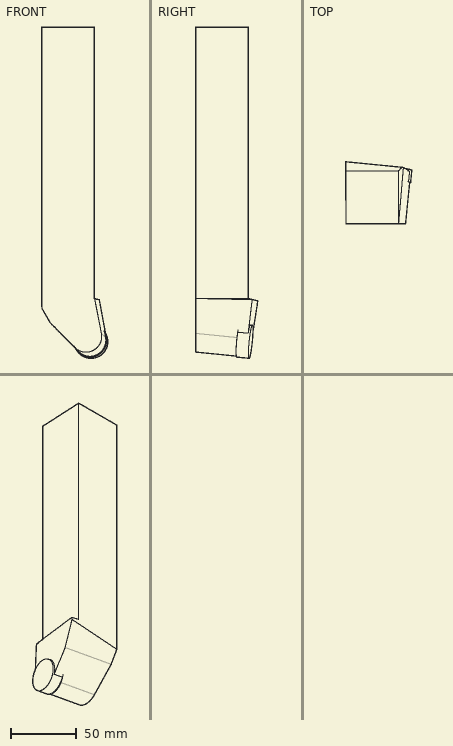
import cadquery as cq
import math

shank_size = 40.0
front_inset = 0.25

ledge_z = -205.8
ledge_angle = 14.0

lean_x = 0.10
lean_z = -0.10

nose_x = 33.54
nose_z = -234.52
nose_radius = 12.0
flank_angle = 11.0
relief_angle = 45.0
relief_corner_x = 6.6
heel_angle = 60.0
head_depth = 47.15

insert_diameter = 25.4
insert_thickness = 9.525
insert_proud = 1.5

block_width = 80.0
block_depth = 60.0
block_height = 60.0

rake_axis = cq.Vector(lean_x, 1, lean_z).normalized()
nose_center = cq.Vector(nose_x, 0, nose_z)
outline_plane = cq.Plane(origin=nose_center, xDir=(1, -lean_x, 0), normal=rake_axis)

ledge_slope = math.tan(math.radians(ledge_angle))
ledge_end_z = ledge_z - (head_depth - shank_size) * ledge_slope
ledge_end = cq.Vector(0, head_depth, ledge_end_z)
rake_distance = (ledge_end - nose_center).dot(rake_axis)


def nose_point(degrees):
    """Point on the nose arc, measured from local x toward local y."""
    angle = math.radians(degrees)
    return nose_radius * math.cos(angle), nose_radius * math.sin(angle)


def make_head_prism():
    """Head outline run along the rake axis, past the front face and up to the rake face."""
    flank_x, flank_y = nose_point(-flank_angle)
    relief_end_x, relief_end_y = nose_point(180 - relief_angle)
    top_y = -block_height
    top_x = flank_x - (flank_y - top_y) * math.tan(math.radians(flank_angle))
    corner_x = relief_corner_x - nose_x
    corner_y = relief_end_y - (relief_end_x - corner_x) * math.tan(math.radians(relief_angle))
    heel_x = corner_x - block_width / 2
    heel_y = corner_y - (corner_x - heel_x) * math.tan(math.radians(heel_angle))
    front_overrun = block_depth / 2
    return (
        cq.Workplane(outline_plane)
        .workplane(offset=-front_overrun)
        .moveTo(top_x, top_y)
        .lineTo(flank_x, flank_y)
        .threePointArc(nose_point(relief_angle), (relief_end_x, relief_end_y))
        .lineTo(corner_x, corner_y)
        .lineTo(heel_x, heel_y)
        .lineTo(heel_x, top_y)
        .close()
        .extrude(front_overrun + rake_distance)
    )


def make_head_block():
    """Block below the ledge, its top falling away behind and to the right of the shank."""
    block_top = cq.Workplane("XY").workplane(offset=ledge_z)
    block = block_top.rect(block_width, block_depth, centered=False).extrude(-block_height)
    back_reach = block_depth - shank_size
    back_wedge = (
        cq.Workplane("YZ")
        .moveTo(shank_size, ledge_z)
        .lineTo(block_depth, ledge_z)
        .lineTo(block_depth, ledge_z - back_reach * ledge_slope)
        .close()
        .extrude(block_width)
    )
    right_reach = block_width - shank_size
    right_wedge = (
        cq.Workplane("XZ")
        .moveTo(shank_size, ledge_z)
        .lineTo(block_width, ledge_z)
        .lineTo(block_width, ledge_z - right_reach * ledge_slope)
        .close()
        .extrude(-block_depth)
    )
    return block.cut(back_wedge).cut(right_wedge)


def make_insert():
    """Plain round insert, coaxial with the nose and standing proud of the rake face."""
    seat_distance = rake_distance + insert_proud - insert_thickness
    return (
        cq.Workplane(outline_plane)
        .workplane(offset=seat_distance)
        .circle(insert_diameter / 2)
        .extrude(insert_thickness)
    )


def make_left_sliver():
    """Thin wedge that slants the whole left side, from nothing at the back to the front inset."""
    return (
        cq.Workplane("XY")
        .polyline([(0, 0), (front_inset, 0), (0, head_depth)])
        .close()
        .extrude(ledge_z - block_height)
    )


def make_holder(insert):
    """Shank and head in one piece, with a seat that fits the insert."""
    shank = cq.Workplane("XY").rect(shank_size, shank_size, centered=False).extrude(ledge_z)
    head = make_head_block().intersect(make_head_prism())
    body = shank.union(head)
    return body.cut(make_left_sliver()).cut(insert)


insert = make_insert()
holder = make_holder(insert)

result = cq.Compound.makeCompound([holder.val(), insert.val()])